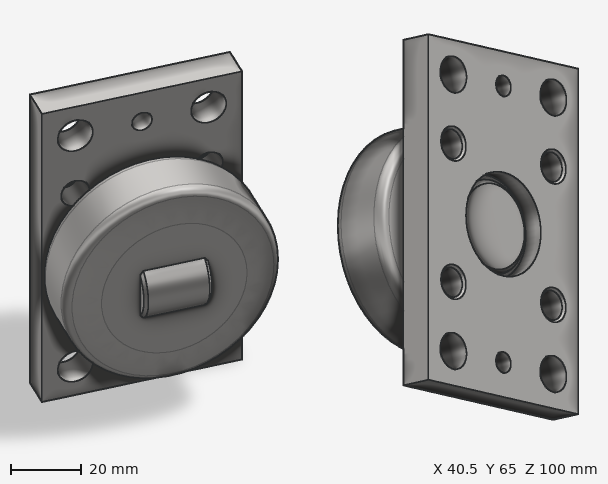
import cadquery as cq
import math

plate_thickness = 10.0
plate_width = 60.0
plate_height = 100.0

hole_side_offset = 20.0
mount_hole_diameter = 10.5
dowel_hole_diameter = 6.0
outer_row_height = 40.0
screw_hole_diameter = 8.5
screw_hole_mouth_diameter = 10.0
screw_row_height = 20.0

recess_diameter = 30.0
recess_depth = 6.0
plug_diameter = 27.2
plug_chamfer = 1.3
plug_setback = 3.8

neck_diameter = 42.0
neck_length = 6.3
roller_radius = 32.5
roller_width = 20.0
roller_fillet = 3.0
rim_width = 13.0
crown_radius = 33.0

side_roller_radius = 10.0
side_roller_length = 20.4
side_roller_chamfer = 1.0
overall_length = 40.5

roller_back = plate_thickness + neck_length
roller_front = roller_back + roller_width


def make_plate():
    return cq.Workplane("YZ").rect(plate_width, plate_height).extrude(plate_thickness)


def point_on_arc(centre, radius, angle):
    return (centre[0] + radius * math.cos(angle), centre[1] + radius * math.sin(angle))


def make_neck_and_roller():
    """Revolve the neck and the roller, whose front is crowned around a flat face."""
    neck_radius = neck_diameter / 2
    rim_start = roller_back + roller_fillet
    rim_end = rim_start + rim_width
    fillet_centre_height = roller_radius - roller_fillet
    back_centre = (rim_start, fillet_centre_height)
    front_centre = (rim_end, fillet_centre_height)

    centre_gap = crown_radius - roller_fillet
    axial_gap = rim_end - (roller_front - crown_radius)
    crown_angle = math.acos(axial_gap / centre_gap)
    front_face_radius = fillet_centre_height - centre_gap * math.sin(crown_angle)
    crown_centre = (roller_front - crown_radius, front_face_radius)
    fillet_middle_angle = (math.pi / 2 + crown_angle) / 2

    profile = (
        cq.Workplane("XY")
        .moveTo(plate_thickness, 0)
        .lineTo(plate_thickness, neck_radius)
        .lineTo(roller_back, neck_radius)
        .lineTo(roller_back, fillet_centre_height)
        .threePointArc(
            point_on_arc(back_centre, roller_fillet, math.radians(135)),
            (rim_start, roller_radius),
        )
        .lineTo(rim_end, roller_radius)
        .threePointArc(
            point_on_arc(front_centre, roller_fillet, fillet_middle_angle),
            point_on_arc(front_centre, roller_fillet, crown_angle),
        )
        .threePointArc(
            point_on_arc(crown_centre, crown_radius, crown_angle / 2),
            (roller_front, front_face_radius),
        )
        .lineTo(roller_front, 0)
        .close()
    )
    return profile.revolve(360, (0, 0, 0), (1, 0, 0))


def make_side_roller():
    return (
        cq.Workplane("XZ")
        .center(overall_length - side_roller_radius, 0)
        .circle(side_roller_radius)
        .extrude(side_roller_length / 2, both=True)
        .edges("%CIRCLE")
        .chamfer(side_roller_chamfer)
    )


def make_plate_holes():
    sides = (-hole_side_offset, hole_side_offset)
    mount_points = [(y, z) for y in sides for z in (-outer_row_height, outer_row_height)]
    screw_points = [(y, z) for y in sides for z in (-screw_row_height, screw_row_height)]
    dowel_points = [(0, -outer_row_height), (0, outer_row_height)]
    back = cq.Workplane("YZ")
    mount_holes = back.pushPoints(mount_points).circle(mount_hole_diameter / 2).extrude(plate_thickness)
    dowel_holes = back.pushPoints(dowel_points).circle(dowel_hole_diameter / 2).extrude(plate_thickness)
    screw_holes = back.pushPoints(screw_points).circle(screw_hole_diameter / 2).extrude(plate_thickness)
    mouth_depth = (screw_hole_mouth_diameter - screw_hole_diameter) / 2
    mouths = (
        back.pushPoints(screw_points)
        .circle(screw_hole_mouth_diameter / 2)
        .extrude(mouth_depth, taper=45)
    )
    return mount_holes.union(dowel_holes).union(screw_holes).union(mouths)


def make_recess():
    return cq.Workplane("YZ").circle(recess_diameter / 2).extrude(recess_depth)


def make_plug():
    return (
        cq.Workplane("YZ", origin=(plug_setback, 0, 0))
        .circle(plug_diameter / 2)
        .extrude(plate_thickness - plug_setback)
        .faces("<X")
        .chamfer(plug_chamfer)
    )


result = (
    make_plate()
    .union(make_neck_and_roller())
    .union(make_side_roller())
    .cut(make_plate_holes())
    .cut(make_recess())
    .union(make_plug())
)